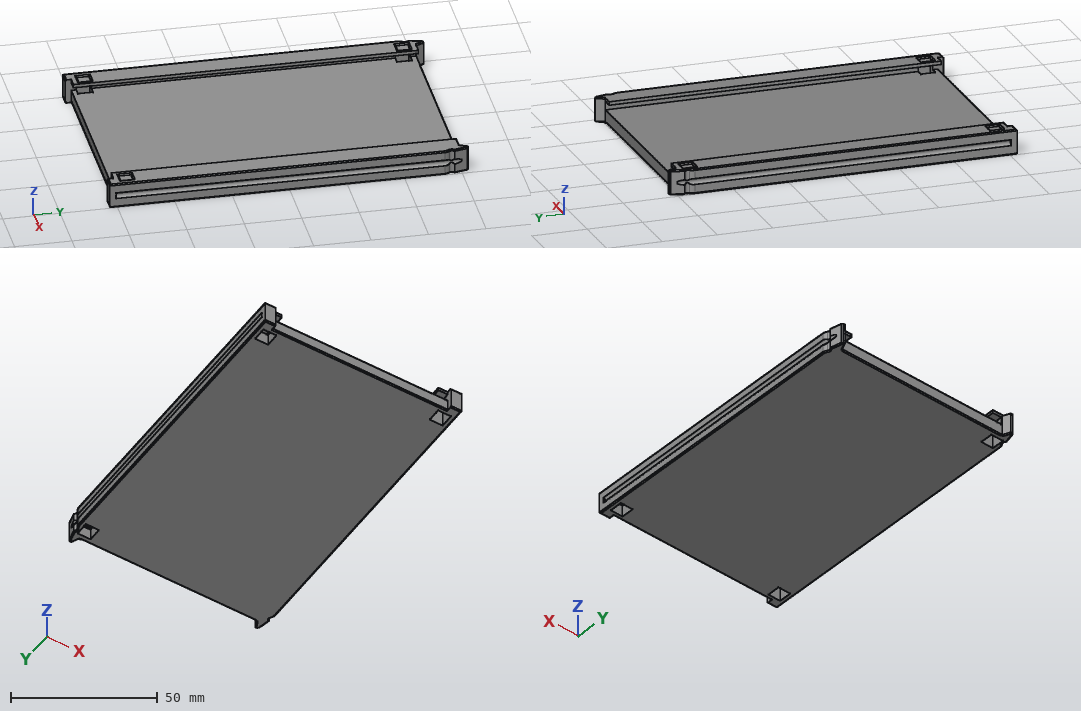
import cadquery as cq

WIDTH = 80.0
LENGTH = 125.2
HEIGHT = 9.0

RAIL_WIDTH = 4.4
LIP_REACH = 8.1
LIP_THICKNESS = 1.3
FLOOR_THICKNESS = 4.8
FRONT_SETBACK = 2.1
REAR_SETBACK = 3.0
EDGE_CHAMFER = 0.44

HORN_BASE_INSET = 4.0
HORN_TIP_INNER_INSET = 2.6
HORN_TIP_OUTER_INSET = 1.9
HORN_BEVEL_INSET = 1.4
HORN_BEVEL_OFFSET = 0.5
HORN_ROOT_INSET = 0.31
NOTCH_DEPTH = 0.9
NOTCH_EXIT_INSET = 0.6
HORN_ROOT_OFFSET = 5.1
NOTCH_BOTTOM_OFFSET = 6.1
NOTCH_EXIT_OFFSET = 6.9
SHOULDER_OFFSET = 8.6
SHOULDER_MID_INSET = 0.15

GROOVE_RADIUS = 1.06
GROOVE_DEPTH = 0.94
GROOVE_FRONT_MARGIN = 2.1

RECESS_SIZE_X = 4.8
RECESS_SIZE_Y = 5.3
RECESS_DEPTH = 0.5
RECESS_TAPER = 45
SHAFT_SIZE = 5.3
RECESS_SIDE_MARGIN = 2.1
RECESS_FRONT_MARGIN = 1.8
RECESS_REAR_MARGIN = 2.0

SIDE = WIDTH / 2
FRONT = -LENGTH / 2
REAR = LENGTH / 2
RAIL_INNER = RAIL_WIDTH - SIDE
FLOOR_FRONT = FRONT + FRONT_SETBACK
FLOOR_REAR = REAR - REAR_SETBACK


def block(x_min, x_max, y_min, y_max, z_min, z_max):
    size = (x_max - x_min, y_max - y_min, z_max - z_min)
    return cq.Workplane("XY").box(*size, centered=False).translate((x_min, y_min, z_min))


def rail_point(inset, rear_offset):
    """Plan point at an inset from the left side face and a distance from the rear end."""
    return (inset - SIDE, REAR - rear_offset)


def make_floor():
    inner_half_width = SIDE - RAIL_WIDTH
    floor = block(-inner_half_width, inner_half_width, FLOOR_FRONT, FLOOR_REAR, 0, FLOOR_THICKNESS)
    return floor.faces("<Z").edges("|X").chamfer(EDGE_CHAMFER)


def make_left_rail():
    """Rail with its snap horn, chamfered along the top and bottom edges of its outer outline."""
    shoulder_mid_offset = (NOTCH_EXIT_OFFSET + SHOULDER_OFFSET) / 2
    rail = (
        cq.Workplane("XY")
        .moveTo(RAIL_INNER, FRONT)
        .lineTo(RAIL_INNER, FLOOR_REAR)
        .lineTo(*rail_point(HORN_BASE_INSET, REAR_SETBACK))
        .lineTo(*rail_point(HORN_TIP_INNER_INSET, 0))
        .lineTo(*rail_point(HORN_TIP_OUTER_INSET, 0))
        .lineTo(*rail_point(HORN_BEVEL_INSET, HORN_BEVEL_OFFSET))
        .lineTo(*rail_point(HORN_ROOT_INSET, HORN_ROOT_OFFSET))
        .threePointArc(
            rail_point(NOTCH_DEPTH, NOTCH_BOTTOM_OFFSET),
            rail_point(NOTCH_EXIT_INSET, NOTCH_EXIT_OFFSET),
        )
        .threePointArc(
            rail_point(SHOULDER_MID_INSET, shoulder_mid_offset),
            rail_point(0, SHOULDER_OFFSET),
        )
        .lineTo(-SIDE, FRONT)
        .close()
        .extrude(HEIGHT)
    )
    inner_edges = cq.selectors.BoxSelector(
        (RAIL_INNER - EDGE_CHAMFER, FRONT, -HEIGHT),
        (RAIL_INNER + EDGE_CHAMFER, REAR, 2 * HEIGHT),
    )
    outline_edges = cq.selectors.StringSyntaxSelector("#Z") - inner_edges
    return rail.edges(outline_edges).chamfer(EDGE_CHAMFER)


def make_groove():
    groove_length = LENGTH - GROOVE_FRONT_MARGIN
    axis_x = GROOVE_DEPTH - GROOVE_RADIUS - SIDE
    return (
        cq.Workplane("XZ", origin=(axis_x, REAR, HEIGHT / 2))
        .circle(GROOVE_RADIUS)
        .extrude(groove_length)
    )


def make_left_lip():
    return block(RAIL_INNER, LIP_REACH - SIDE, FLOOR_FRONT, FLOOR_REAR, HEIGHT - LIP_THICKNESS, HEIGHT)


def make_recess(x, y):
    """Tapered recess in the lip together with the straight shaft below the lip."""
    recess = (
        cq.Workplane("XY", origin=(x, y, HEIGHT))
        .rect(RECESS_SIZE_X, RECESS_SIZE_Y)
        .extrude(-RECESS_DEPTH, taper=RECESS_TAPER)
    )
    shaft = (
        cq.Workplane("XY", origin=(x, y, 0))
        .rect(SHAFT_SIZE, SHAFT_SIZE)
        .extrude(HEIGHT - LIP_THICKNESS)
    )
    return recess.union(shaft)


left_side = make_left_rail().cut(make_groove()).union(make_left_lip())
result = make_floor().union(left_side).union(left_side.mirror("YZ"))

recess_x = SIDE - RECESS_SIDE_MARGIN - RECESS_SIZE_X / 2
recess_front_y = FLOOR_FRONT + RECESS_FRONT_MARGIN + RECESS_SIZE_Y / 2
recess_rear_y = FLOOR_REAR - RECESS_REAR_MARGIN - RECESS_SIZE_Y / 2
recess_centers = [
    (-recess_x, recess_front_y),
    (recess_x, recess_front_y),
    (-recess_x, recess_rear_y),
]
for center in recess_centers:
    result = result.cut(make_recess(*center))